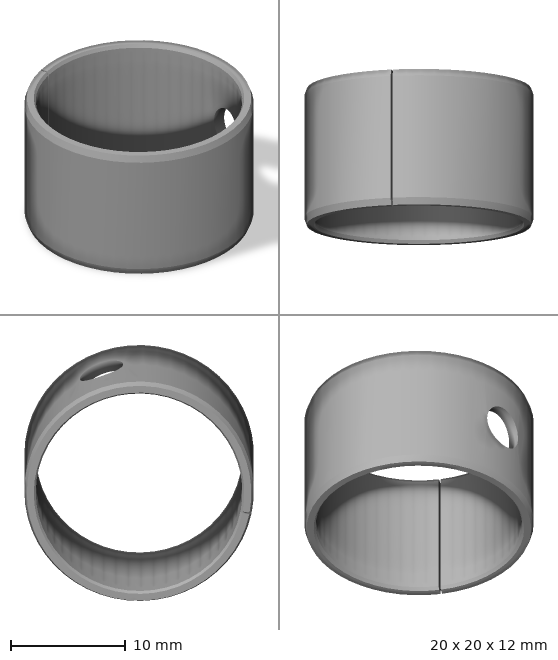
import cadquery as cq
import math

outer_diameter = 20.0
wall = 1.0
length = 12.0

outer_chamfer_length = 0.6
outer_chamfer_angle = 20.0
inner_chamfer_length = 0.3
inner_chamfer_angle = 30.0

split_gap_angle = 1.0
split_end_angle = 180.0
split_start_angle = split_end_angle - split_gap_angle

oil_hole_diameter = 4.0
oil_hole_angle_from_split = 120.0
oil_hole_angle = split_start_angle - oil_hole_angle_from_split
oil_hole_height = length / 2

outer_radius = outer_diameter / 2
inner_radius = outer_radius - wall


def chamfer_depth(chamfer_length, angle):
    """Radial depth of a chamfer from its axial length and angle."""
    return chamfer_length * math.tan(math.radians(angle))


def rotate_about_axis(body, angle):
    """Turn a body about the bushing axis."""
    return body.rotate((0, 0, 0), (0, 0, 1), angle)


def split_sleeve():
    """Revolve the wall section, chamfered at its four corners, leaving the split open."""
    end_face_outer = outer_radius - chamfer_depth(outer_chamfer_length, outer_chamfer_angle)
    end_face_inner = inner_radius + chamfer_depth(inner_chamfer_length, inner_chamfer_angle)
    section = [
        (inner_radius, inner_chamfer_length),
        (end_face_inner, 0),
        (end_face_outer, 0),
        (outer_radius, outer_chamfer_length),
        (outer_radius, length - outer_chamfer_length),
        (end_face_outer, length),
        (end_face_inner, length),
        (inner_radius, length - inner_chamfer_length),
    ]
    profile = cq.Workplane("XZ").polyline(section).close()
    sleeve = profile.revolve(360 - split_gap_angle, (0, 0, 0), (0, 1, 0))
    return rotate_about_axis(sleeve, split_end_angle)


def oil_hole_cutter():
    """Radial cylinder from the axis outward, so it pierces one side only."""
    reach = outer_diameter
    drill = cq.Workplane("YZ").center(0, oil_hole_height).circle(oil_hole_diameter / 2).extrude(reach)
    return rotate_about_axis(drill, oil_hole_angle)


result = split_sleeve().cut(oil_hole_cutter())